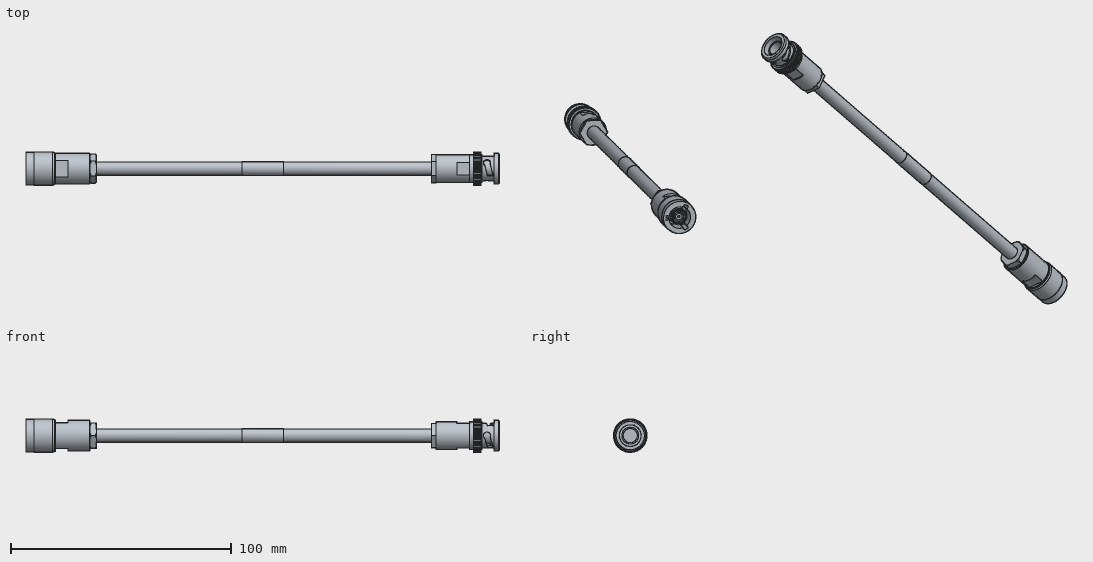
import cadquery as cq
import math


OVERALL_LENGTH = 214.85
LARGE_RADIUS = 7.62
KEY_COUNT = 3
KEY_PITCH = 360 / KEY_COUNT

CABLE_RADIUS = 3.1
MARKER_RADIUS = 3.2
MARKER_LENGTH = 18.8
CABLE_INSERTION = 2.0

COLLAR_LENGTH = 12.9
COLLAR_BORE_RADIUS = 5.0
COLLAR_BORE_DEPTH = 9.0
COLLAR_CHAMFER_LENGTH = 0.9
COLLAR_CHAMFER_DEPTH = 0.3
COLLAR_LIP_LENGTH = 3.6
COLLAR_LIP_RADIUS = 7.5
KEYWAY_WIDTH = 2.0
KEYWAY_RADIUS = 6.3

PLUG_BODY_RADIUS = 7.0
PLUG_BODY_END = 29.1
PLUG_BODY_CHAMFER = 0.3
PLUG_SHOULDER_RADIUS = 7.1
PLUG_FLAT_START = 13.5
PLUG_FLAT_LENGTH = 5.5
PLUG_FLAT_HEIGHT = 5.9
PLUG_NUT_END = 32.0
PLUG_NUT_FLATS = 11.6
PLUG_NUT_CHAMFER = 0.6

BARREL_FACE = 2.0
BARREL_RADIUS = 3.8
BARREL_BORE_RADIUS = 3.3
INNER_BARREL_RADIUS = 2.8
INNER_BARREL_BORE_RADIUS = 2.2
CONTACT_RADIUS = 1.5
CONTACT_BORE_RADIUS = 0.5
CONTACT_BORE_DEPTH = 4.0

JACK_NUT_START = 183.9
JACK_BODY_START = 186.0
JACK_BODY_END = 201.3
JACK_BODY_RADIUS = 6.35
JACK_NUT_FLATS = 11.2
JACK_FLAT_LENGTH = 5.8
JACK_FLAT_HEIGHT = 5.7
JACK_BARREL_RADIUS = 3.8
JACK_BARREL_BORE_RADIUS = 3.2
JACK_BARREL_END = 213.0

KNURL_START = 202.9
KNURL_END = 206.4
KNURL_TEETH = 60
KNURL_DEPTH = 0.4
HUB_END = 206.9
HUB_RADIUS = 6.4
SLEEVE_RADIUS = 5.7
SLEEVE_BORE_RADIUS = 4.9
FLANGE_START = 212.3
FLANGE_RADIUS = 7.0
FLANGE_CHAMFER = 0.6

BAYONET_HOLE_RADIUS = 1.6
BAYONET_HOLE_X = 209.1
BAYONET_FIRST_ANGLE = 60
BAYONET_SWEEP = 65
BAYONET_RISE = 1.5
BAYONET_SLOT_WIDTH = 2.6


def rod(start, end, radius):
    """Round bar on the cable axis."""
    return cq.Workplane("YZ", origin=(start, 0, 0)).circle(radius).extrude(end - start)


def tube(start, end, radius, bore_radius):
    """Round tube on the cable axis."""
    return rod(start, end, radius).cut(rod(start, end, bore_radius))


def about_axis(shape, angle):
    """Turn a shape about the cable axis."""
    return shape.rotate((0, 0, 0), (1, 0, 0), angle)


def cut_wrench_flats(body, start, length, height):
    """Cut two flats facing +Z and -Z."""
    for side in (1, -1):
        block = cq.Workplane("XY").box(length, 2 * LARGE_RADIUS, LARGE_RADIUS, centered=(False, True, True))
        body = body.cut(block.translate((start, 0, side * (height + LARGE_RADIUS / 2))))
    return body


def hex_nut(start, end, across_flats):
    """Hexagon on the cable axis with flats facing +Z and -Z and corners at +Y and -Y."""
    across_corners = across_flats / math.cos(math.radians(30))
    return cq.Workplane("YZ", origin=(start, 0, 0)).polygon(6, across_corners).extrude(end - start)


def make_collar():
    taper_start = COLLAR_LENGTH - COLLAR_CHAMFER_LENGTH
    end_radius = LARGE_RADIUS - COLLAR_CHAMFER_DEPTH
    half_profile = [
        (0, 0),
        (0, COLLAR_LIP_RADIUS),
        (COLLAR_LIP_LENGTH, COLLAR_LIP_RADIUS),
        (COLLAR_LIP_LENGTH, LARGE_RADIUS),
        (taper_start, LARGE_RADIUS),
        (COLLAR_LENGTH, end_radius),
        (COLLAR_LENGTH, 0),
    ]
    collar = cq.Workplane("XY").polyline(half_profile).close().revolve(360, (0, 0, 0), (1, 0, 0))
    collar = collar.cut(rod(0, COLLAR_LENGTH, COLLAR_BORE_RADIUS))
    keyway = cq.Workplane("XY").box(
        COLLAR_BORE_DEPTH, KEYWAY_RADIUS, KEYWAY_WIDTH, centered=(False, False, True)
    )
    for index in range(KEY_COUNT):
        collar = collar.cut(about_axis(keyway, index * KEY_PITCH))
    return collar


def make_plug_body():
    body = rod(COLLAR_LENGTH, PLUG_BODY_END, PLUG_BODY_RADIUS).faces(">X").chamfer(PLUG_BODY_CHAMFER)
    body = cut_wrench_flats(body, PLUG_FLAT_START, PLUG_FLAT_LENGTH, PLUG_FLAT_HEIGHT)
    body = body.union(rod(COLLAR_LENGTH, PLUG_FLAT_START, PLUG_SHOULDER_RADIUS))
    body = body.union(rod(COLLAR_BORE_DEPTH, COLLAR_LENGTH, COLLAR_BORE_RADIUS))
    body = body.union(tube(BARREL_FACE, COLLAR_BORE_DEPTH, BARREL_RADIUS, BARREL_BORE_RADIUS))
    body = body.union(tube(BARREL_FACE, COLLAR_BORE_DEPTH, INNER_BARREL_RADIUS, INNER_BARREL_BORE_RADIUS))
    body = body.union(rod(BARREL_FACE, COLLAR_BORE_DEPTH, CONTACT_RADIUS))
    body = body.cut(rod(BARREL_FACE, BARREL_FACE + CONTACT_BORE_DEPTH, CONTACT_BORE_RADIUS))
    return body.cut(rod(PLUG_BODY_END - CABLE_INSERTION, PLUG_BODY_END, CABLE_RADIUS))


def make_plug_nut():
    nut = hex_nut(PLUG_BODY_END, PLUG_NUT_END, PLUG_NUT_FLATS)
    corner_radius = PLUG_NUT_FLATS / 2 / math.cos(math.radians(30))
    envelope = rod(PLUG_BODY_END, PLUG_NUT_END, corner_radius).faces("<X or >X").chamfer(PLUG_NUT_CHAMFER)
    return nut.intersect(envelope).cut(rod(PLUG_BODY_END, PLUG_NUT_END, CABLE_RADIUS))


def make_cable():
    return rod(PLUG_BODY_END - CABLE_INSERTION, JACK_BODY_START + CABLE_INSERTION, CABLE_RADIUS)


def make_marker():
    start = (OVERALL_LENGTH - MARKER_LENGTH) / 2
    return tube(start, start + MARKER_LENGTH, MARKER_RADIUS, CABLE_RADIUS)


def make_jack_nut():
    nut = hex_nut(JACK_NUT_START, JACK_BODY_START, JACK_NUT_FLATS)
    return nut.cut(rod(JACK_NUT_START, JACK_BODY_START, CABLE_RADIUS))


def make_jack_body():
    body = rod(JACK_BODY_START, JACK_BODY_END, JACK_BODY_RADIUS)
    flat_start = JACK_BODY_END - JACK_FLAT_LENGTH
    body = cut_wrench_flats(body, flat_start, JACK_FLAT_LENGTH, JACK_FLAT_HEIGHT)
    body = body.union(rod(JACK_BODY_END, HUB_END, SLEEVE_BORE_RADIUS))
    body = body.union(tube(HUB_END, JACK_BARREL_END, JACK_BARREL_RADIUS, JACK_BARREL_BORE_RADIUS))
    return body.cut(rod(JACK_BODY_START, JACK_BODY_START + CABLE_INSERTION, CABLE_RADIUS))


def make_knurl():
    """Ring of straight V-shaped teeth."""
    points = []
    for index in range(2 * KNURL_TEETH):
        radius = LARGE_RADIUS - KNURL_DEPTH * (index % 2)
        angle = math.pi * index / KNURL_TEETH
        points.append((radius * math.cos(angle), radius * math.sin(angle)))
    ring = cq.Workplane("YZ", origin=(KNURL_START, 0, 0)).polyline(points).close()
    return ring.extrude(KNURL_END - KNURL_START)


def make_bayonet_cutter():
    """Round hole at +Y with a helical slot that climbs from it toward the flange."""
    middle_radius = (SLEEVE_RADIUS + SLEEVE_BORE_RADIUS) / 2
    cut_depth = 2 * (SLEEVE_RADIUS - SLEEVE_BORE_RADIUS)
    pitch = BAYONET_RISE * 360 / BAYONET_SWEEP
    path = cq.Wire.makeHelix(pitch, BAYONET_RISE, middle_radius)
    section = cq.Workplane("XZ", origin=(middle_radius, 0, 0)).rect(cut_depth, BAYONET_SLOT_WIDTH)
    slot = section.sweep(cq.Workplane(path), isFrenet=True)
    slot = slot.rotate((0, 0, 0), (1, 1, 1), 120)
    hole = cq.Workplane("XZ", origin=(0, middle_radius - cut_depth / 2, 0)).circle(BAYONET_HOLE_RADIUS)
    return slot.union(hole.extrude(-cut_depth)).translate((BAYONET_HOLE_X, 0, 0))


def make_coupling_nut():
    nut = rod(JACK_BODY_END, HUB_END, HUB_RADIUS).union(make_knurl())
    nut = nut.union(rod(HUB_END, FLANGE_START, SLEEVE_RADIUS))
    nut = nut.union(rod(FLANGE_START, OVERALL_LENGTH, FLANGE_RADIUS).faces(">X").chamfer(FLANGE_CHAMFER))
    nut = nut.cut(rod(JACK_BODY_END, OVERALL_LENGTH, SLEEVE_BORE_RADIUS))
    cutter = make_bayonet_cutter()
    for index in range(KEY_COUNT):
        nut = nut.cut(about_axis(cutter, BAYONET_FIRST_ANGLE + index * KEY_PITCH))
    return nut


collar = make_collar()
plug_body = make_plug_body()
plug_nut = make_plug_nut()
cable = make_cable()
marker = make_marker()
jack_nut = make_jack_nut()
jack_body = make_jack_body()
coupling_nut = make_coupling_nut()

result = cq.Compound.makeCompound([
    collar.val(),
    plug_body.val(),
    plug_nut.val(),
    cable.val(),
    marker.val(),
    jack_nut.val(),
    jack_body.val(),
    coupling_nut.val(),
])